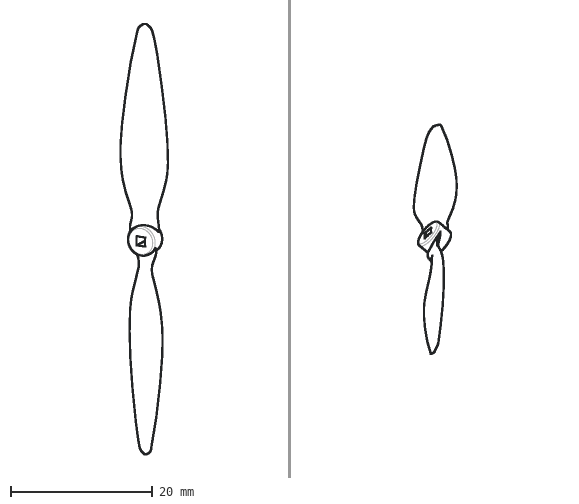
import cadquery as cq
import math

length = 63.5
tip_height = length / 2

hub_radius = 2.15
hub_width = 2.65
hub_edge_round = 0.25
bore_side = 1.35

blade_stations = [
    (0.65, -1.8, 1.65, 0.65, 0.9),
    (2.85, -1.8, 1.65, 0.8, 0.75),
    (5.1, -1.85, 1.7, 1.15, 0.6),
    (7.0, -2.5, 2.3, 1.3, 0.45),
    (9.85, -3.1, 2.9, 1.3, 0.45),
    (14.0, -3.35, 3.05, 1.1, 0.4),
    (19.05, -3.0, 2.7, 0.8, 0.3),
    (24.1, -2.35, 2.15, 0.6, 0.25),
    (29.85, -1.3, 1.3, 0.3, 0.2),
    (31.0, -1.0, 0.95, 0.2, 0.1),
    (31.5, -0.6, 0.5, 0.1, 0.1),
    (tip_height, -0.2, 0.2, 0.05, 0.05),
]


def make_hub():
    back_plane = cq.Workplane("XZ", origin=(0, hub_width / 2, 0))
    hub = back_plane.circle(hub_radius).extrude(hub_width)
    return hub.faces("|Y").edges().fillet(hub_edge_round)


def blade_section(left, right, half_depth, thickness):
    """Lens section whose chord rises from -Y at the left edge to +Y at the right."""
    chord = math.hypot(right - left, 2 * half_depth)
    mid_x = (left + right) / 2
    offset_x = thickness * half_depth / chord
    offset_y = thickness / 2 * (right - left) / chord
    left_edge = cq.Vector(left, -half_depth)
    right_edge = cq.Vector(right, half_depth)
    front = cq.Vector(mid_x + offset_x, -offset_y)
    back = cq.Vector(mid_x - offset_x, offset_y)
    return cq.Wire.assembleEdges([
        cq.Edge.makeThreePointArc(left_edge, front, right_edge),
        cq.Edge.makeThreePointArc(right_edge, back, left_edge),
    ])


def make_blade():
    sections = []
    for height, left, right, half_depth, thickness in blade_stations:
        section = blade_section(left, right, half_depth, thickness)
        sections.append(section.translate(cq.Vector(0, 0, height)))
    return cq.Workplane(cq.occ_impl.shapes.loft(sections, cap=True, parametrization="chordal"))


result = make_hub()
upper_blade = make_blade()
for angle in (0, 180):
    result = result.union(upper_blade.rotate((0, 0, 0), (0, 1, 0), angle))

bore = cq.Workplane("XZ").rect(bore_side, bore_side).extrude(hub_width, both=True)
result = result.cut(bore)